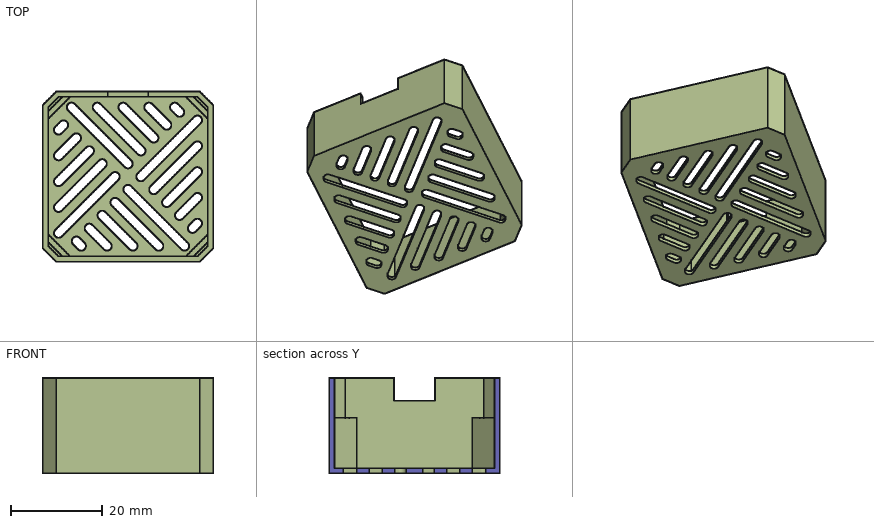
import cadquery as cq
import math

side = 37.4
height = 21.0
wall = 1.2
floor = 1.2
outer_corner_cut = 3.0

cavity_side = side - 2 * wall
cavity_corner_cut = outer_corner_cut - wall * (2 - math.sqrt(2))

corner_count = 4
plate_height = 11.0
plate_thickness = 1.2
plate_back_leg = 3.15
plate_front_leg = plate_back_leg + plate_thickness * math.sqrt(2)

notch_width = 8.98
notch_depth = 5.0

group_count = 4
slots_per_group = 5
slot_width = 2.0
slot_spacing = 4.0
slot_reach = 15.22
slot_step = slot_spacing / math.sqrt(2)


def corner_cut_block(width, corner_cut, block_height, bottom):
    """Square block with its four vertical edges chamfered."""
    block = cq.Workplane("XY").workplane(offset=bottom).rect(width, width).extrude(block_height)
    return block.edges("|Z").chamfer(corner_cut)


def make_box():
    outside = corner_cut_block(side, outer_corner_cut, height, 0)
    cavity = corner_cut_block(cavity_side, cavity_corner_cut, height - floor, floor)
    return outside.cut(cavity)


def corner_plate():
    """Plate across the +X +Y cavity corner, joined to both walls and the floor."""
    wall_face = cavity_side / 2
    embed = wall / 2
    buried_face = wall_face + embed
    front = wall_face - plate_front_leg - embed
    back = wall_face - plate_back_leg - embed
    outline = [(buried_face, front), (buried_face, back), (back, buried_face), (front, buried_face)]
    return cq.Workplane("XY").workplane(offset=floor).polyline(outline).close().extrude(plate_height)


def slot_group():
    """Parallel slots beside the -X wall, shorter towards the +Y end."""
    slots = cq.Workplane("XY")
    for number in range(1, slots_per_group + 1):
        inner_x = -number * slot_step
        inner_y = (number - 1) * slot_step
        run = slot_reach + inner_x
        slot = (
            cq.Workplane("XY")
            .center(inner_x - run / 2, inner_y - run / 2)
            .slot2D(run * math.sqrt(2) + slot_width, slot_width, 45)
            .extrude(floor)
        )
        slots = slots.add(slot)
    return slots.combine()


def rim_notch():
    return (
        cq.Workplane("XY")
        .box(notch_width, wall, notch_depth, centered=(True, True, False))
        .translate((0, (side - wall) / 2, height - notch_depth))
    )


result = make_box()
for corner in range(corner_count):
    result = result.union(corner_plate().rotate((0, 0, 0), (0, 0, 1), 360 / corner_count * corner))
for group in range(group_count):
    turn = 360 / group_count * group
    result = result.cut(slot_group().rotate((0, 0, 0), (0, 0, 1), turn))
result = result.cut(rim_notch())